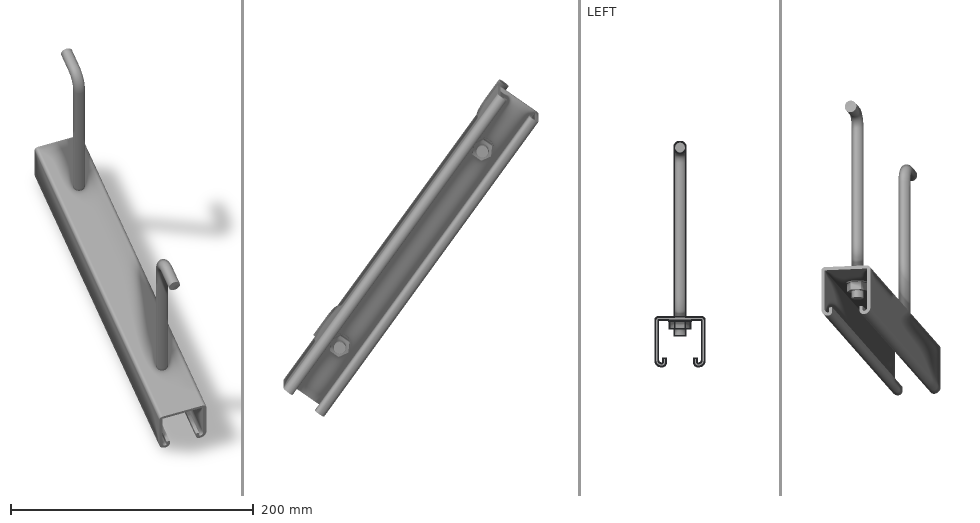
import cadquery as cq
import math

LENGTH = 304.8
WIDTH = 41.0
HEIGHT = 41.0
WALL = 2.7
TOP_RADIUS = 3.0
CURL_RADIUS = 5.5
LIP_RADIUS = 3.7
LIP_HEIGHT = 7.0

ROD_DIAMETER = 9.8
ROD_OFFSET = 101.5
ROD_TOP = 144.5
ROD_BOTTOM = -16.0
BEND_RADIUS = 12.2
ROD_TIP_OFFSET = 132.0

WASHER_DIAMETER = 18.5
WASHER_THICKNESS = 1.0
NUT_ACROSS_CORNERS = 17.7
NUT_HEIGHT = 6.5

washer_top = -WALL
nut_top = washer_top - WASHER_THICKNESS


def make_channel():
    """Bent-sheet C channel with curled lips and two rod holes."""
    half_width = WIDTH / 2
    inner_half = half_width - WALL
    top_inner_radius = TOP_RADIUS - WALL
    curl_inner_radius = CURL_RADIUS - WALL
    lip_inner_radius = LIP_RADIUS - WALL
    curl_y = half_width - CURL_RADIUS
    curl_z = -HEIGHT + CURL_RADIUS
    lip_z = -HEIGHT + LIP_RADIUS
    lip_end_z = -HEIGHT + LIP_HEIGHT
    corner_y = half_width - TOP_RADIUS
    diagonal = math.sqrt(0.5)

    half_section = (
        cq.Workplane("YZ", origin=(-LENGTH / 2, 0, 0))
        .lineTo(corner_y, 0)
        .threePointArc(
            (corner_y + TOP_RADIUS * diagonal, -TOP_RADIUS + TOP_RADIUS * diagonal),
            (half_width, -TOP_RADIUS),
        )
        .lineTo(half_width, curl_z)
        .threePointArc(
            (curl_y + CURL_RADIUS * diagonal, curl_z - CURL_RADIUS * diagonal),
            (curl_y, -HEIGHT),
        )
        .threePointArc(
            (curl_y - LIP_RADIUS * diagonal, lip_z - LIP_RADIUS * diagonal),
            (curl_y - LIP_RADIUS, lip_z),
        )
        .lineTo(curl_y - LIP_RADIUS, lip_end_z)
        .lineTo(curl_y - lip_inner_radius, lip_end_z)
        .lineTo(curl_y - lip_inner_radius, lip_z)
        .threePointArc(
            (curl_y - lip_inner_radius * diagonal, lip_z - lip_inner_radius * diagonal),
            (curl_y, -HEIGHT + WALL),
        )
        .threePointArc(
            (curl_y + curl_inner_radius * diagonal, curl_z - curl_inner_radius * diagonal),
            (inner_half, curl_z),
        )
        .lineTo(inner_half, -TOP_RADIUS)
        .threePointArc(
            (corner_y + top_inner_radius * diagonal, -TOP_RADIUS + top_inner_radius * diagonal),
            (corner_y, -WALL),
        )
        .lineTo(0, -WALL)
        .close()
    )
    half_channel = half_section.extrude(LENGTH)
    channel = half_channel.union(half_channel.mirror("XZ")).clean()
    holes = (
        cq.Workplane("XY", origin=(0, 0, -WALL))
        .pushPoints([(-ROD_OFFSET, 0), (ROD_OFFSET, 0)])
        .circle(ROD_DIAMETER / 2)
        .extrude(WALL)
    )
    return channel.cut(holes)


def make_rod(side):
    """Upright rod whose top bends outward; side is -1 or +1 along X."""
    rod_x = side * ROD_OFFSET
    axis_top = ROD_TOP - ROD_DIAMETER / 2
    bend_start_z = axis_top - BEND_RADIUS
    bend_end_x = rod_x + side * BEND_RADIUS
    bend_middle = (
        bend_end_x - side * BEND_RADIUS * math.sqrt(0.5),
        bend_start_z + BEND_RADIUS * math.sqrt(0.5),
    )
    axis = (
        cq.Workplane("XZ")
        .moveTo(rod_x, ROD_BOTTOM)
        .lineTo(rod_x, bend_start_z)
        .threePointArc(bend_middle, (bend_end_x, axis_top))
        .lineTo(side * ROD_TIP_OFFSET, axis_top)
    )
    return (
        cq.Workplane("XY", origin=(rod_x, 0, ROD_BOTTOM))
        .circle(ROD_DIAMETER / 2)
        .sweep(axis)
    )


def make_washer(side):
    """Flat washer against the underside of the channel top."""
    return (
        cq.Workplane("XY", origin=(side * ROD_OFFSET, 0, washer_top))
        .circle(WASHER_DIAMETER / 2)
        .circle(ROD_DIAMETER / 2)
        .extrude(-WASHER_THICKNESS)
    )


def make_nut(side):
    """Hexagonal nut below the washer, with two corners on the Y direction."""
    return (
        cq.Workplane("XY", origin=(side * ROD_OFFSET, 0, nut_top))
        .transformed(rotate=(0, 0, 90))
        .polygon(6, NUT_ACROSS_CORNERS)
        .circle(ROD_DIAMETER / 2)
        .extrude(-NUT_HEIGHT)
    )


bodies = [make_channel().val()]
for side in (-1, 1):
    bodies.append(make_rod(side).val())
    bodies.append(make_washer(side).val())
    bodies.append(make_nut(side).val())

result = cq.Compound.makeCompound(bodies)